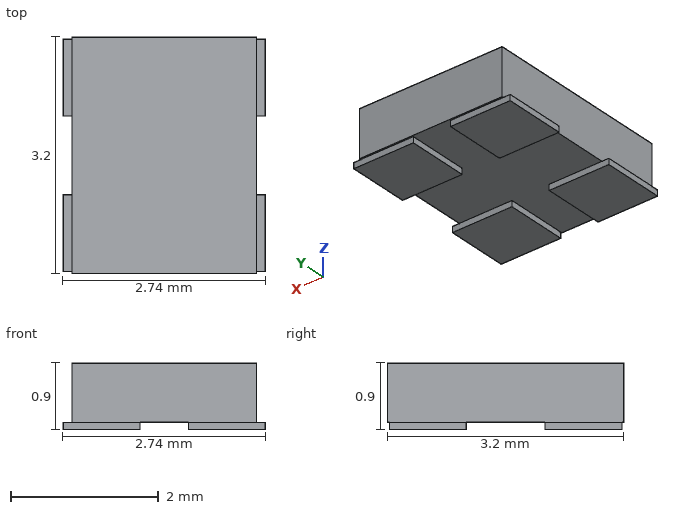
import cadquery as cq

body_width = 2.5
body_length = 3.2
body_height = 0.8

pad_size = 1.043
pad_thickness = 0.1
pad_span_x = 2.74
pad_span_y = 3.15

pad_center_x = (pad_span_x - pad_size) / 2
pad_center_y = (pad_span_y - pad_size) / 2


def make_body():
    """Plain block resting on top of the pads."""
    return (
        cq.Workplane("XY")
        .workplane(offset=pad_thickness)
        .rect(body_width, body_length)
        .extrude(body_height)
    )


def make_pad(side_x, side_y):
    """Square pad at the corner given by the signs of X and Y."""
    return (
        cq.Workplane("XY")
        .center(side_x * pad_center_x, side_y * pad_center_y)
        .rect(pad_size, pad_size)
        .extrude(pad_thickness)
    )


body = make_body()
pads = [make_pad(side_x, side_y) for side_x in (-1, 1) for side_y in (-1, 1)]

result = cq.Compound.makeCompound([body.val(), *[pad.val() for pad in pads]])